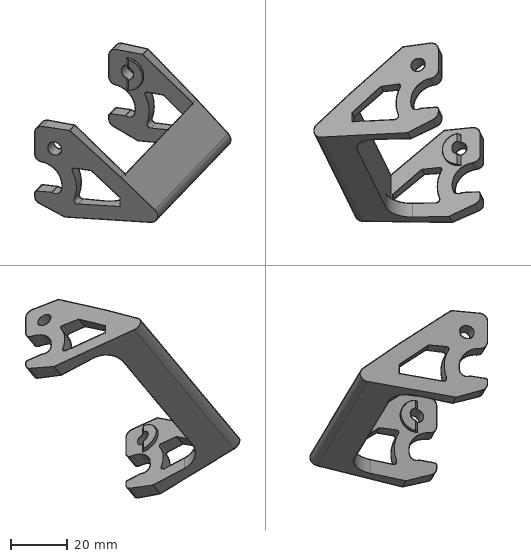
import cadquery as cq
import math

length = 46.2
width = 73.7
height = 34.65

tip_half_width = 33.6
inner_half_width = 31.1
bar_face_x = 32.65
web_radius = 7.95

top_end_x = 13.2
heel_x = 11.35
slope_break = (32.4, 19.1)
nose_corner = (50.5, 3.6)
nose_radius = 2.95
corner_radius = 2.95
jaw_corner_z = 4.65
jaw_top_z = 8.6
jaw_edge_radius = 0.9

notch_center = (2.1, 12.4)
notch_radius = 8.2
notch_lip_x = 2.95
lip_radius = 2.9
seat_radius = 2.4
seat_angle = math.radians(-12)
seat_end_x = 6.5

window_arc_radius = 13.6
window_top_z = 20.0
window_top_end_x = 21.3
window_right_x = 32.0
window_right_top_z = 11.05
window_floor_right_z = 7.45
window_upper_radius = 0.9
window_lower_radius = 1.3
floor_slope = nose_corner[1] / (nose_corner[0] - heel_x)

hole_center = (7.5, 26.6)
hole_radius = 2.6
boss_center = (7.45, 26.1)
boss_radius = 6.1
boss_height = 1.25
boss_flat_base_x = 7.1
boss_flat_tip_x = 8.2


def floor_z(x):
    """Height of the window floor, which runs parallel to the bottom edge."""
    return window_floor_right_z + floor_slope * (x - window_right_x)


def point_on_circle(center, radius, angle):
    return (center[0] + radius * math.cos(angle), center[1] + radius * math.sin(angle))


def across_width(outline):
    """Extrude an XZ outline symmetrically through the full width."""
    return outline.extrude(width / 2, both=True)


def round_edge(body, x, z, radius):
    """Round the edge along Y nearest to the given XZ position."""
    return body.edges("|Y").edges(cq.NearestToPointSelector((x, 0, z))).fillet(radius)


def side_profile():
    lip_angle = math.acos((notch_lip_x - notch_center[0]) / notch_radius)
    lip = point_on_circle(notch_center, notch_radius, lip_angle)
    notch_end = point_on_circle(notch_center, notch_radius, seat_angle)
    notch_mid = point_on_circle(notch_center, notch_radius, (lip_angle + seat_angle) / 2)
    seat_center = point_on_circle(notch_center, notch_radius - seat_radius, seat_angle)
    seat_end_angle = -math.acos((seat_end_x - seat_center[0]) / seat_radius)
    seat_mid = point_on_circle(seat_center, seat_radius, (seat_angle + seat_end_angle) / 2)
    seat_end = point_on_circle(seat_center, seat_radius, seat_end_angle)

    lip_corner_z = lip[1]
    body = across_width(
        cq.Workplane("XZ")
        .moveTo(0, height)
        .lineTo(top_end_x, height)
        .lineTo(*slope_break)
        .lineTo(*nose_corner)
        .lineTo(heel_x, 0)
        .lineTo(0, jaw_corner_z)
        .lineTo(0, jaw_top_z)
        .lineTo(*seat_end)
        .threePointArc(seat_mid, notch_end)
        .threePointArc(notch_mid, lip)
        .lineTo(0, lip_corner_z)
        .close()
    )
    body = round_edge(body, 0, height, corner_radius)
    body = round_edge(body, *nose_corner, nose_radius)
    body = round_edge(body, 0, jaw_corner_z, corner_radius)
    body = round_edge(body, 0, jaw_top_z, jaw_edge_radius)
    return round_edge(body, 0, lip_corner_z, lip_radius)


def plan_frame():
    """U-shaped plan: arms with tapered outer faces and a straight crossbar."""
    taper = (width / 2 - tip_half_width) / length
    end_x = nose_corner[0]
    end_half_width = width / 2 - taper * end_x
    outline = [
        (0, width / 2),
        (end_x, end_half_width),
        (end_x, -end_half_width),
        (0, -width / 2),
        (0, -inner_half_width),
        (bar_face_x, -inner_half_width),
        (bar_face_x, inner_half_width),
        (0, inner_half_width),
    ]
    return cq.Workplane("XY").polyline(outline).close().extrude(height)


def corner_webs(frame):
    """Curved inside corners, present only below the window floor."""
    margin = 0.75
    rounded = frame.edges("|Z").edges(
        cq.selectors.BoxSelector(
            (bar_face_x - margin, -inner_half_width - margin, 0),
            (bar_face_x + margin, inner_half_width + margin, height),
        )
    ).fillet(web_radius)
    below_floor = across_width(
        cq.Workplane("XZ")
        .polyline([(0, 0), (bar_face_x, 0), (bar_face_x, floor_z(bar_face_x)), (0, floor_z(0))])
        .close()
    )
    return rounded.intersect(below_floor)


def window():
    cx, cz = notch_center
    top_x = cx + math.sqrt(window_arc_radius**2 - (window_top_z - cz) ** 2)
    offset = floor_z(cx) - cz
    a = 1 + floor_slope**2
    b = floor_slope * offset
    c = offset**2 - window_arc_radius**2
    low_x = cx + (math.sqrt(b**2 - a * c) - b) / a
    low_z = floor_z(low_x)
    body = across_width(
        cq.Workplane("XZ")
        .moveTo(top_x, window_top_z)
        .lineTo(window_top_end_x, window_top_z)
        .lineTo(window_right_x, window_right_top_z)
        .lineTo(window_right_x, window_floor_right_z)
        .lineTo(low_x, low_z)
        .threePointArc((cx + window_arc_radius, cz), (top_x, window_top_z))
        .close()
    )
    body = round_edge(body, top_x, window_top_z, window_upper_radius)
    return round_edge(body, low_x, low_z, window_lower_radius)


def inner_boss():
    """Boss on the +Y arm: a disc cut off by a sloping flat."""
    tip_y = inner_half_width - boss_height
    disc = (
        cq.Workplane("XZ", origin=(0, inner_half_width, 0))
        .center(*boss_center)
        .circle(boss_radius)
        .extrude(boss_height)
    )
    far_x = boss_center[0] + boss_radius
    kept = (
        cq.Workplane("XY")
        .polyline([
            (boss_flat_base_x, inner_half_width),
            (far_x, inner_half_width),
            (far_x, tip_y),
            (boss_flat_tip_x, tip_y),
        ])
        .close()
        .extrude(height)
    )
    return disc.intersect(kept)


profile = side_profile()
frame = plan_frame()
boss = inner_boss()
result = profile.intersect(frame.union(corner_webs(frame))).cut(window())
result = result.union(boss).union(boss.mirror("XZ"))
pivot_hole = across_width(cq.Workplane("XZ").center(*hole_center).circle(hole_radius))
result = result.cut(pivot_hole)